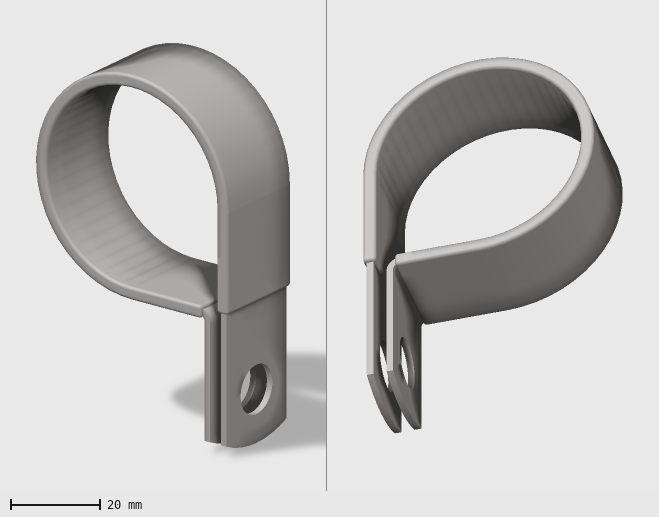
import cadquery as cq
import math

outer_diameter = 53.9
cover_width = 23.8
overall_height = 85.65
strap_thickness = 1.5
cover_margin = 0.8
bend_radius = 1.5
near_cover_end = 19.5
far_cover_drop = 24.5
tab_gap = 3.1
hole_diameter = 11.8
hole_to_tip = 12.85
tip_rise = 2.5

outer_radius = outer_diameter / 2
cover_thickness = strap_thickness + 2 * cover_margin
strap_width = cover_width - 2 * cover_margin
strap_outer_radius = outer_radius - cover_margin
tip_z = outer_radius - overall_height
hole_z = tip_z + hole_to_tip
near_tab_outer_x = strap_outer_radius - strap_thickness - tab_gap


def extrude_across(profile, width):
    """Extrude an XZ profile symmetrically about Y = 0."""
    return profile.extrude(width / 2, both=True)


def loop_profile(radius, thickness, bottom_end_x, side_end_z):
    """Three-quarter ring with straight legs along the bottom and down the side."""
    inner = radius - thickness
    diagonal = math.sqrt(0.5)
    return (
        cq.Workplane("XZ")
        .moveTo(bottom_end_x, -radius)
        .lineTo(0, -radius)
        .threePointArc((-radius * diagonal, radius * diagonal), (radius, 0))
        .lineTo(radius, side_end_z)
        .lineTo(inner, side_end_z)
        .lineTo(inner, 0)
        .threePointArc((-inner * diagonal, inner * diagonal), (0, -inner))
        .lineTo(bottom_end_x, -inner)
        .close()
    )


def make_cover():
    """Cushion around the strap, rounded along both sides and both ends."""
    profile = loop_profile(outer_radius, cover_thickness, near_cover_end, -far_cover_drop)
    body = extrude_across(profile, cover_width)
    side_edges = body.faces("<Y or >Y").edges()
    bottom_end = cq.selectors.NearestToPointSelector(
        (near_cover_end, 0, -outer_radius + cover_thickness / 2)
    )
    side_end = cq.selectors.NearestToPointSelector(
        (outer_radius - cover_thickness / 2, 0, -far_cover_drop)
    )
    end_edges = body.faces(bottom_end).edges().add(body.faces(side_end).edges())
    return body.newObject(side_edges.add(end_edges).vals()).fillet(cover_margin)


def make_near_tab():
    """Bend from the bottom leg down into the near tab."""
    bend_outer = bend_radius + strap_thickness
    bend_x = near_tab_outer_x - bend_outer
    bend_z = -strap_outer_radius - bend_radius
    diagonal = math.sqrt(0.5)
    profile = (
        cq.Workplane("XZ")
        .moveTo(bend_x, bend_z + bend_outer)
        .threePointArc(
            (bend_x + bend_outer * diagonal, bend_z + bend_outer * diagonal),
            (near_tab_outer_x, bend_z),
        )
        .lineTo(near_tab_outer_x, tip_z)
        .lineTo(near_tab_outer_x - strap_thickness, tip_z)
        .lineTo(near_tab_outer_x - strap_thickness, bend_z)
        .threePointArc(
            (bend_x + bend_radius * diagonal, bend_z + bend_radius * diagonal),
            (bend_x, bend_z + bend_radius),
        )
        .close()
    )
    return extrude_across(profile, strap_width)


def make_tab_outline():
    """Envelope along X that rounds the tab tips and carries the bolt hole."""
    half_width = strap_width / 2
    return (
        cq.Workplane("YZ")
        .moveTo(-half_width, outer_radius)
        .lineTo(half_width, outer_radius)
        .lineTo(half_width, tip_z + tip_rise)
        .threePointArc((0, tip_z), (-half_width, tip_z + tip_rise))
        .close()
        .moveTo(0, hole_z)
        .circle(hole_diameter / 2)
        .extrude(outer_diameter, both=True)
    )


strap_leg_end = near_tab_outer_x - strap_thickness - bend_radius
strap_loop = extrude_across(
    loop_profile(strap_outer_radius, strap_thickness, strap_leg_end, tip_z), strap_width
)
strap = strap_loop.union(make_near_tab()).intersect(make_tab_outline())

result = make_cover().union(strap)